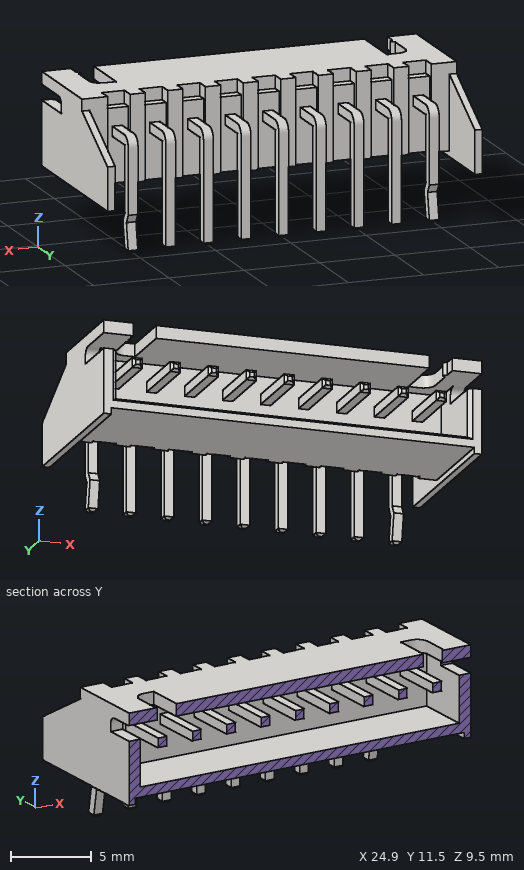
import cadquery as cq

PIN_COUNT = 9
PIN_PITCH = 2.5

WIDTH = 24.9
HEIGHT = 6.1
BODY_DEPTH = 7.05
FOOT_HEIGHT = 0.4
SIDE_PLATE_THICKNESS = 0.5
SIDE_WALL = 0.87
TOP_WALL = 0.85
FLOOR_WALL = 0.7
CAVITY_DEPTH = 5.1
CAVITY_FLOOR = FOOT_HEIGHT + FLOOR_WALL
CAVITY_TOP = HEIGHT - TOP_WALL
CAVITY_HALF_WIDTH = WIDTH / 2 - SIDE_WALL

MOUTH_BEVEL_SIDE = 0.25
MOUTH_BEVEL_FLOOR = 0.18
MOUTH_BEVEL_DEPTH = 0.25

PLATE_LENGTH = 11.5
WING_FRONT_HEIGHT = 5.33
WING_REAR_HEIGHT = 2.87

SIDE_SLOT_LENGTH = 3.42
SIDE_SLOT_HEIGHT = 1.0
SIDE_SLOT_RADIUS = 0.5

LATCH_SLOT_LENGTH = 3.95
LATCH_SLOT_WIDTH = 1.5
LATCH_SLOT_OUTER_X = 10.5
LATCH_SLOT_RADIUS = 0.78
LATCH_BUMP_HEIGHT = 0.24
LATCH_BUMP_Y = 1.16

NOTCH_WIDTH = 1.5
NOTCH_DEPTH = 1.0
NOTCH_LEDGE_Z = CAVITY_TOP
GROOVE_DEPTH = 0.3

PIN_SIZE = 0.65
PIN_AXIS_Z = 3.75
PIN_FRONT_Y = 0.52
PIN_REAR_Y = 9.53
PIN_BOTTOM_Z = -3.4
PIN_TIP_LENGTH = 0.17
PIN_TIP_SIZE = 0.3
PIN_BEND_RADIUS = 0.7

KINK_OFFSET = 0.32
KINK_START_Z = -0.95
KINK_PEAK_Z = -1.5

CUT_MARGIN = 1.0


def box(x_min, x_max, y_min, y_max, z_min, z_max):
    size = (x_max - x_min, y_max - y_min, z_max - z_min)
    return cq.Workplane("XY").box(*size, centered=False).translate((x_min, y_min, z_min))


def extrude_side_profile(profile, x_min, thickness):
    """Extrude a closed profile drawn in the YZ plane along +X from x_min."""
    return profile.extrude(thickness).translate((x_min, 0, 0))


def mirrored_pair(shape):
    """Join a shape with its mirror image across the middle plane X = 0."""
    return shape.union(shape.mirror("YZ"))


def make_side_plates():
    profile = cq.Workplane("YZ").polyline([
        (0, 0),
        (PLATE_LENGTH, 0),
        (PLATE_LENGTH, WING_REAR_HEIGHT),
        (BODY_DEPTH, WING_FRONT_HEIGHT),
        (BODY_DEPTH, HEIGHT),
        (0, HEIGHT),
    ]).close()
    return mirrored_pair(extrude_side_profile(profile, -WIDTH / 2, SIDE_PLATE_THICKNESS))


def make_cavity():
    cavity = box(-CAVITY_HALF_WIDTH, CAVITY_HALF_WIDTH, 0, CAVITY_DEPTH, CAVITY_FLOOR, CAVITY_TOP)
    mouth_half_width = CAVITY_HALF_WIDTH + MOUTH_BEVEL_SIDE
    mouth_floor = CAVITY_FLOOR - MOUTH_BEVEL_FLOOR
    mouth = (
        cq.Workplane("XZ")
        .moveTo(-mouth_half_width, mouth_floor)
        .lineTo(mouth_half_width, mouth_floor)
        .lineTo(mouth_half_width, CAVITY_TOP)
        .lineTo(-mouth_half_width, CAVITY_TOP)
        .close()
        .workplane(offset=-MOUTH_BEVEL_DEPTH)
        .moveTo(-CAVITY_HALF_WIDTH, CAVITY_FLOOR)
        .lineTo(CAVITY_HALF_WIDTH, CAVITY_FLOOR)
        .lineTo(CAVITY_HALF_WIDTH, CAVITY_TOP)
        .lineTo(-CAVITY_HALF_WIDTH, CAVITY_TOP)
        .close()
        .loft(ruled=True)
    )
    return cavity.union(mouth)


def make_side_slots():
    slot = box(
        -WIDTH / 2, -CAVITY_HALF_WIDTH,
        0, SIDE_SLOT_LENGTH,
        CAVITY_TOP - SIDE_SLOT_HEIGHT, CAVITY_TOP,
    )
    return mirrored_pair(slot.edges(">Y and >Z").fillet(SIDE_SLOT_RADIUS))


def make_latch_slots():
    outer_x = -LATCH_SLOT_OUTER_X
    outline = (
        cq.Workplane("XY")
        .moveTo(outer_x + LATCH_SLOT_WIDTH, 0)
        .lineTo(outer_x + LATCH_SLOT_WIDTH, LATCH_SLOT_LENGTH)
        .lineTo(outer_x + LATCH_SLOT_RADIUS, LATCH_SLOT_LENGTH)
        .radiusArc((outer_x, LATCH_SLOT_LENGTH - LATCH_SLOT_RADIUS), -LATCH_SLOT_RADIUS)
        .lineTo(outer_x, LATCH_BUMP_Y + LATCH_BUMP_HEIGHT)
        .lineTo(outer_x + LATCH_BUMP_HEIGHT, LATCH_BUMP_Y)
        .lineTo(outer_x, LATCH_BUMP_Y - LATCH_BUMP_HEIGHT)
        .lineTo(outer_x, 0)
        .close()
    )
    return mirrored_pair(outline.extrude(TOP_WALL).translate((0, 0, CAVITY_TOP)))


def make_notch(x):
    """Open pocket above a pin, with a shallower groove running down the rear wall."""
    left = x - NOTCH_WIDTH / 2
    right = x + NOTCH_WIDTH / 2
    rear = BODY_DEPTH + CUT_MARGIN
    pocket = box(left, right, BODY_DEPTH - NOTCH_DEPTH, rear, NOTCH_LEDGE_Z, HEIGHT)
    groove = box(left, right, BODY_DEPTH - GROOVE_DEPTH, rear, FOOT_HEIGHT, HEIGHT)
    return pocket.union(groove)


def make_housing():
    body = box(-WIDTH / 2, WIDTH / 2, 0, BODY_DEPTH, FOOT_HEIGHT, HEIGHT)
    housing = body.union(make_side_plates())
    for cutter in (make_cavity(), make_side_slots(), make_latch_slots()):
        housing = housing.cut(cutter)
    for x in pin_positions:
        housing = housing.cut(make_notch(x))
    return housing


def make_pin_tip(plane):
    """Blunt pyramid standing on a plane that ends a straight pin leg."""
    return (
        cq.Workplane(plane)
        .rect(PIN_SIZE, PIN_SIZE)
        .workplane(offset=PIN_TIP_LENGTH)
        .rect(PIN_TIP_SIZE, PIN_TIP_SIZE)
        .loft(ruled=True)
    )


def make_pin(x, kinked):
    top_z = PIN_AXIS_Z + PIN_SIZE / 2
    under_z = top_z - PIN_SIZE
    leg_front_y = PIN_REAR_Y - PIN_SIZE
    bar_start_y = PIN_FRONT_Y + PIN_TIP_LENGTH
    leg_end_z = PIN_BOTTOM_Z + PIN_TIP_LENGTH

    outline = (
        cq.Workplane("YZ")
        .moveTo(bar_start_y, top_z)
        .lineTo(PIN_REAR_Y - PIN_BEND_RADIUS, top_z)
        .radiusArc((PIN_REAR_Y, top_z - PIN_BEND_RADIUS), PIN_BEND_RADIUS)
    )
    if kinked:
        outline = outline.lineTo(PIN_REAR_Y, KINK_START_Z).lineTo(PIN_REAR_Y - KINK_OFFSET, KINK_PEAK_Z)
    outline = outline.lineTo(PIN_REAR_Y, leg_end_z).lineTo(leg_front_y, leg_end_z)
    if kinked:
        outline = outline.lineTo(leg_front_y - KINK_OFFSET, KINK_PEAK_Z).lineTo(leg_front_y, KINK_START_Z)
    outline = outline.lineTo(leg_front_y, under_z).lineTo(bar_start_y, under_z).close()
    pin = extrude_side_profile(outline, x - PIN_SIZE / 2, PIN_SIZE)

    front_end = cq.Plane(origin=(x, bar_start_y, PIN_AXIS_Z), xDir=(1, 0, 0), normal=(0, -1, 0))
    leg_end = cq.Plane(origin=(x, PIN_REAR_Y - PIN_SIZE / 2, leg_end_z), xDir=(1, 0, 0), normal=(0, 0, -1))
    return pin.union(make_pin_tip(front_end)).union(make_pin_tip(leg_end))


pin_positions = [(i - (PIN_COUNT - 1) / 2) * PIN_PITCH for i in range(PIN_COUNT)]

result = make_housing()
for pin_x in pin_positions:
    is_end_pin = pin_x in (pin_positions[0], pin_positions[-1])
    result = result.union(make_pin(pin_x, is_end_pin))